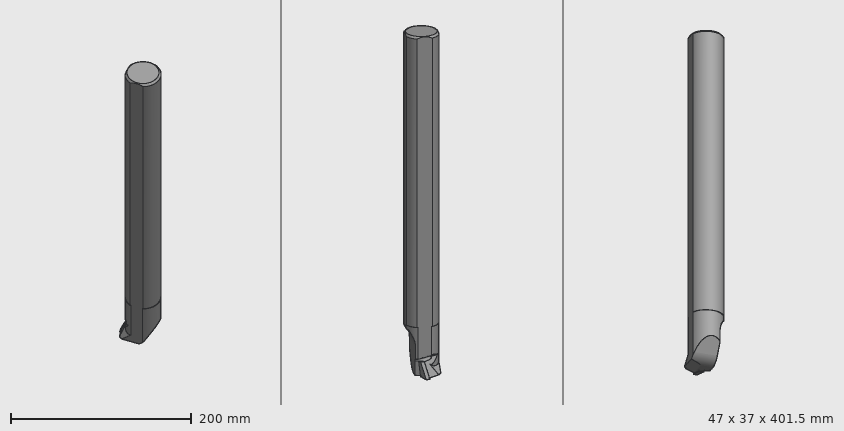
import cadquery as cq
import math

total_length = 401.5
shank_radius = 20.0
neck_radius = 19.5
neck_top = 59.0
side_flat = 18.0
face_flat = 18.5
top_chamfer = 2.5

relief_face = 10.0
relief_top = 55.0
relief_radius = 26.0

head_bottom = 1.2
bevel_top = 29.0
bevel_knee = (9.0, 9.5)
bevel_mid = (3.2, 4.0)
bevel_foot = -4.0

tip_x = -27.0
flank_y_slope = -0.2
flank_z_slope = 0.48
body_setback = 0.5
heel_x = -40.5
heel_y_slope = -1.0
heel_z_slope = 1.1

clearance_start = -4.0
clearance_rise = 2.5

insert_top = 18.5
insert_thickness = 4.5
insert_wall = -17.3
wall_slope = 0.4
rake_slope = 0.36
rake_twist = 0.1

groove_diameter = 5.2
groove_x = -17.0
groove_z = 21.0
groove_tilt = 12.0
groove_end = -14.5

reach = 80.3
overrun = 4.0


rake_length = math.sqrt(1 + rake_slope**2 + rake_twist**2)
rake_normal = (-rake_slope / rake_length, 1 / rake_length, -rake_twist / rake_length)
tip = (tip_x, 0, 0)
seat_origin = tuple(t - insert_thickness * n for t, n in zip(tip, rake_normal))


def side_of_plane(origin, normal):
    """Large block lying on the side of a plane that its normal points to."""
    return cq.Workplane(cq.Plane(origin, normal=normal)).rect(4 * reach, 4 * reach).extrude(2 * reach)


def outside_flank(x0, y_slope, z_slope):
    """Space on the -X side of a sloping flank plane."""
    return side_of_plane((x0, 0, 0), (-1, y_slope, z_slope))


def flats_envelope():
    """Block bounded by the three flats that run the full length of the bar."""
    return cq.Workplane("XY").box(
        side_flat + shank_radius, 2 * face_flat, total_length, centered=(False, True, False)
    ).translate((-side_flat, 0, 0))


def make_bar():
    """Chamfered shank and slightly thinner neck, trimmed by the flats."""
    shank = cq.Workplane("XY").workplane(offset=neck_top).circle(shank_radius)
    shank = shank.extrude(total_length - neck_top).faces(">Z").chamfer(top_chamfer)
    neck = cq.Workplane("XY").circle(neck_radius).extrude(neck_top)
    return shank.union(neck).intersect(flats_envelope())


def make_flare():
    """Foot that leans out toward the cutting tip."""
    foot = cq.Workplane("XY").box(
        reach, 2 * face_flat, insert_top, centered=(False, True, False)
    ).translate((-reach, 0, 0))
    foot = foot.cut(outside_flank(tip_x + body_setback, flank_y_slope, flank_z_slope))
    return foot.cut(outside_flank(heel_x, heel_y_slope, heel_z_slope))


def make_nose_waste():
    """Material below the head: flat bottom, round nose and straight bevel."""
    slope = (bevel_top - bevel_knee[1]) / (shank_radius - bevel_knee[0])
    outer_edge = (shank_radius + overrun, bevel_top + overrun * slope)
    outline = (
        cq.Workplane("XZ").moveTo(-reach, head_bottom).lineTo(bevel_foot, head_bottom)
        .threePointArc(bevel_mid, bevel_knee)
        .lineTo(*outer_edge).lineTo(outer_edge[0], -reach).lineTo(-reach, -reach).close()
    )
    return outline.extrude(reach, both=True)


def make_relief_waste():
    """Material beyond the +Y relief face, which runs out in an arc."""
    arc_depth = face_flat - relief_face
    run_out = math.acos(1 - arc_depth / relief_radius)
    arc_start = relief_top - relief_radius * math.sin(run_out)
    middle = (
        relief_face + relief_radius * (1 - math.cos(run_out / 2)),
        arc_start + relief_radius * math.sin(run_out / 2),
    )
    outline = (
        cq.Workplane("YZ").moveTo(relief_face, -overrun).lineTo(relief_face, arc_start)
        .threePointArc(middle, (face_flat, relief_top))
        .lineTo(reach, relief_top).lineTo(reach, -overrun).close()
    )
    return outline.extrude(reach, both=True)


def make_underside_waste():
    """Wedge that gives the underside clearance toward -Y."""
    run = face_flat + clearance_start
    outline = cq.Workplane("YZ").polyline([
        (clearance_start, head_bottom),
        (-face_flat, head_bottom + clearance_rise),
        (-face_flat - run, head_bottom + 2 * clearance_rise),
        (-face_flat - run, head_bottom),
    ]).close()
    return outline.extrude(reach, both=True)


def make_seat_slab(bottom):
    """Slab on the +Y side of the seat, from the slanted inner wall out past the -X side."""
    slab = cq.Workplane("XY").box(
        2 * reach, 2 * reach, insert_top - bottom, centered=(True, True, False)
    ).translate((0, 0, bottom))
    slab = slab.cut(side_of_plane((insert_wall, 0, 0), (1, -wall_slope, 0)))
    return slab.cut(side_of_plane(seat_origin, tuple(-c for c in rake_normal)))


def make_groove():
    """Tilted round groove in the corner between the flat and the foot."""
    groove = cq.Workplane("XZ", origin=(0, reach, 0)).circle(groove_diameter / 2).extrude(reach - groove_end)
    groove = groove.rotate((0, 0, 0), (1, 0, 0), -groove_tilt)
    return groove.translate((groove_x, 0, groove_z))


def make_flank_runout():
    """Material outside the body flank below the groove, so that the flank runs up into the groove."""
    tilt = math.radians(groove_tilt)
    below_groove = (0, -math.sin(tilt), -math.cos(tilt))
    runout = outside_flank(tip_x + body_setback, flank_y_slope, flank_z_slope)
    return runout.intersect(side_of_plane((groove_x, 0, groove_z), below_groove))


def make_holder():
    """Bar with the flared head, relieved and cut out for the insert."""
    holder = make_bar().union(make_flare())
    for waste in (
        make_nose_waste(), make_relief_waste(), make_underside_waste(),
        make_groove(), make_flank_runout(), make_seat_slab(-overrun),
    ):
        holder = holder.cut(waste)
    return holder


def make_insert():
    """Plate between the seat and the rake face, with a leaning outer flank."""
    plate = make_seat_slab(0).cut(side_of_plane(tip, rake_normal))
    return plate.cut(outside_flank(tip_x, flank_y_slope, flank_z_slope))


holder = make_holder()
insert = make_insert()
result = cq.Compound.makeCompound([*holder.solids().vals(), insert.val()])